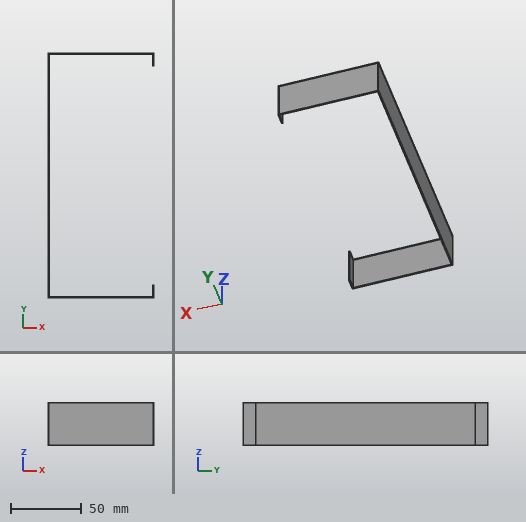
import cadquery as cq

depth = 74.27
width = 172.6
height = 30.0
sheet_thickness = 0.8
lip_length = 8.8


def make_closed_frame():
    """Rectangular sheet frame, closed on all four sides."""
    outer = cq.Workplane("XY").box(depth, width, height)
    cavity_depth = depth - 2 * sheet_thickness
    cavity_width = width - 2 * sheet_thickness
    cavity = cq.Workplane("XY").box(cavity_depth, cavity_width, height)
    return outer.cut(cavity)


def make_mouth():
    """Opening in the +X wall that leaves one inturned lip at each end."""
    mouth_width = width - 2 * lip_length
    mouth_center_x = (depth - sheet_thickness) / 2
    mouth = cq.Workplane("XY").box(sheet_thickness, mouth_width, height)
    return mouth.translate((mouth_center_x, 0, 0))


result = make_closed_frame().cut(make_mouth())